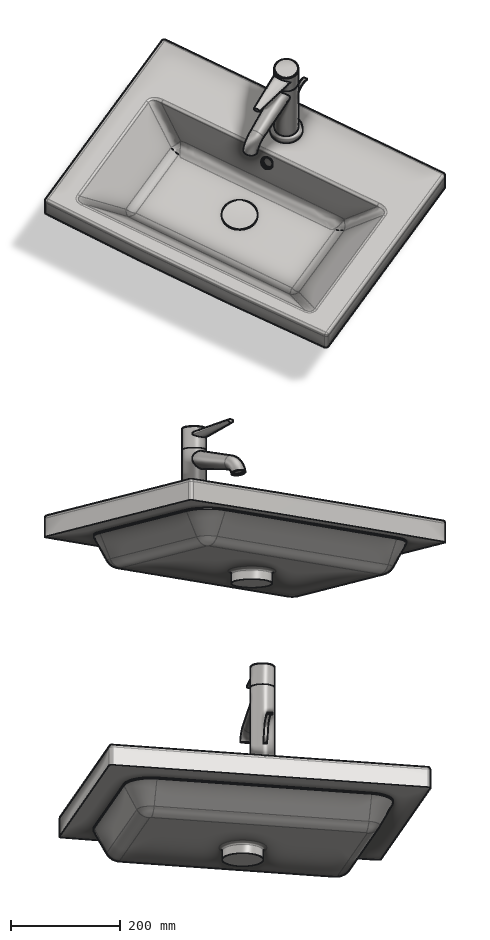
import cadquery as cq
import math


rim_width = 600.0
rim_height = 41.0
rim_back = 233.0
rim_front = -198.0
front_bow = 4.0
rim_edge_radius = 6.0

under_width = 501.5
under_back = 180.5
under_front = -171.0
under_corner_radius = 50.5
under_lip = 3.0
under_bottom = -102.0
under_taper = 28.5
under_edge_radius = 27.0

drain_diameter = 75.0
drain_bottom = -125.5
drain_root_radius = 6.0

opening_width = 501.5
opening_back = 107.5
opening_front = -165.5
floor_width = 351.5
floor_back = 74.0
floor_front = -104.0
floor_depth = 66.5
cavity_corner_radius = 18.0
floor_edge_radius = 27.0
opening_edge_radius = 7.0

overflow_outer = 24.0
overflow_inner = 20.0
overflow_depth = 20.5
overflow_length = 5.0
overflow_sink = 2.5

stopper_diameter = 66.0
stopper_edge = 3.0
stopper_seat = 0.5
stopper_dome = 2.0

faucet_y = 167.0
column_diameter = 45.0
base_diameter = 60.0
base_height = 11.5
base_edge_radius = 7.0
cap_bottom = 150.0
cap_top = 191.0
cap_chamfer = 1.5

lever_root_y = faucet_y - 9.0
lever_tip_y = 60.5
lever_root_z = 175.0
lever_tip_z = 187.0
lever_root_size = (35.0, 14.0)
lever_tip_size = (12.0, 6.5)

spout_slope = 12.2
spout_axis_z = 132.5
spout_length = 107.0
spout_root_diameter = 35.0
spout_tip_diameter = 26.5
bend_radius = 32.0
bend_angle = 63.0
outlet_diameter = 20.0
outlet_depth = 2.5

rod_width = 7.0
rod_thickness = 3.0
rod_points = [(186.5, 37.0), (194.5, 51.5), (200.5, 69.5), (215.5, 81.5), (235.0, 78.0)]


def rectangle_at(z, width, back, front):
    """A rectangle at height z, centred on X, between a back and a front line."""
    return (
        cq.Workplane("XY", origin=(0, (back + front) / 2, z))
        .rect(width, back - front)
    )


def make_rim():
    half = rim_width / 2
    corner_y = rim_front + front_bow
    rim = (
        cq.Workplane("XY")
        .moveTo(half, corner_y)
        .lineTo(half, rim_back)
        .lineTo(-half, rim_back)
        .lineTo(-half, corner_y)
        .threePointArc((0, rim_front), (half, corner_y))
        .close()
        .extrude(-rim_height)
    )
    return rim.edges("|Z").fillet(rim_edge_radius).faces(">Z").edges().fillet(rim_edge_radius)


def make_underside():
    lip_bottom = -rim_height - under_lip
    lip = (
        rectangle_at(-rim_height, under_width, under_back, under_front)
        .extrude(-under_lip)
        .edges("|Z")
        .fillet(under_corner_radius)
    )
    bowl = (
        lip.faces("<Z")
        .wires()
        .toPending()
        .workplane()
        .extrude(lip_bottom - under_bottom, taper=under_taper, combine=False)
        .faces("<Z")
        .edges()
        .fillet(under_edge_radius)
    )
    return lip.union(bowl)


def make_drain_stub():
    radius = drain_diameter / 2
    root = drain_root_radius
    middle = root * (1 - math.sqrt(0.5))
    return (
        cq.Workplane("XZ")
        .moveTo(0, under_bottom)
        .lineTo(radius + root, under_bottom)
        .threePointArc((radius + middle, under_bottom - middle), (radius, under_bottom - root))
        .lineTo(radius, drain_bottom)
        .lineTo(0, drain_bottom)
        .close()
        .revolve(360, (0, 0, 0), (0, 1, 0))
    )


def make_cavity():
    cavity = (
        rectangle_at(0, opening_width, opening_back, opening_front)
        .workplane(offset=-floor_depth)
        .center(0, (floor_back + floor_front - opening_back - opening_front) / 2)
        .rect(floor_width, floor_back - floor_front)
        .loft(ruled=True)
    )
    cavity = cavity.edges("not #Z").fillet(cavity_corner_radius)
    return cavity.faces("<Z").edges().fillet(floor_edge_radius)


def overflow_cylinder(diameter, start, length):
    """A cylinder square to the back wall; start is the depth of its near end below the wall."""
    run = opening_back - floor_back
    slant = math.hypot(run, floor_depth)
    outward = cq.Vector(0, -floor_depth / slant, run / slant)
    center = cq.Vector(0, opening_back - overflow_depth * run / floor_depth, -overflow_depth)
    solid = cq.Solid.makeCylinder(diameter / 2, length, center - outward * start, outward * -1)
    return cq.Workplane(solid)


def make_overflow_ring():
    outer = overflow_cylinder(overflow_outer, overflow_sink, overflow_length)
    return outer.cut(overflow_cylinder(overflow_inner, overflow_sink, overflow_length))


def make_basin(stopper):
    basin = make_rim().union(make_underside()).union(make_drain_stub()).cut(make_cavity())
    inside = cq.selectors.BoxSelector(
        (-opening_width, opening_front - 0.5, -0.5), (opening_width, opening_back + 0.5, 0.5), True
    )
    basin = basin.edges(inside).fillet(opening_edge_radius)
    basin = basin.cut(overflow_cylinder(overflow_outer, 0, overflow_sink + overflow_length))
    return basin.cut(stopper)


def make_stopper():
    radius = stopper_diameter / 2
    chord_angle = math.atan2(stopper_dome, radius)
    dome_radius = radius / math.sin(2 * chord_angle)
    crown = stopper_edge + stopper_dome
    drop = dome_radius * (1 - math.cos(chord_angle))
    return (
        cq.Workplane("XZ", origin=(0, 0, -floor_depth - stopper_seat))
        .lineTo(radius, 0)
        .lineTo(radius, stopper_edge)
        .threePointArc((dome_radius * math.sin(chord_angle), crown - drop), (0, crown))
        .close()
        .revolve(360, (0, 0, 0), (0, 1, 0))
    )


def make_spout():
    slope = math.radians(spout_slope)
    forward = cq.Vector(0, -math.cos(slope), -math.sin(slope))
    start = cq.Vector(0, faucet_y, spout_axis_z)
    end = start + forward * spout_length
    root_radius = spout_root_diameter / 2
    tip_radius = spout_tip_diameter / 2
    cone = cq.Workplane(cq.Solid.makeCone(root_radius, tip_radius, spout_length, start, forward))

    end_plane = cq.Plane(origin=end.toTuple(), xDir=(1, 0, 0), normal=forward.toTuple())
    bend = (
        cq.Workplane(end_plane)
        .circle(tip_radius)
        .revolve(bend_angle, (0, -bend_radius, 0), (1, -bend_radius, 0))
    )
    outlet_angle = slope + math.radians(bend_angle)
    bend_center = end + cq.Vector(0, math.sin(slope), -math.cos(slope)) * bend_radius
    outlet_center = bend_center + cq.Vector(0, -math.sin(outlet_angle), math.cos(outlet_angle)) * bend_radius
    flow = cq.Vector(0, -math.cos(outlet_angle), -math.sin(outlet_angle))
    recess = cq.Solid.makeCylinder(outlet_diameter / 2, outlet_depth, outlet_center, flow * -1)
    return cone.union(bend).cut(cq.Workplane(recess))


def make_lever():
    rise = math.atan2(lever_tip_z - lever_root_z, lever_root_y - lever_tip_y)
    length = math.hypot(lever_tip_z - lever_root_z, lever_root_y - lever_tip_y)
    root_plane = cq.Plane(
        origin=(0, lever_root_y, lever_root_z),
        xDir=(1, 0, 0),
        normal=(0, -math.cos(rise), math.sin(rise)),
    )
    return (
        cq.Workplane(root_plane)
        .ellipse(lever_root_size[0] / 2, lever_root_size[1] / 2)
        .workplane(offset=length)
        .ellipse(lever_tip_size[0] / 2, lever_tip_size[1] / 2)
        .loft()
    )


def make_rod():
    path = cq.Workplane("YZ").spline(rod_points)
    tangent = path.val().tangentAt(0)
    start = cq.Plane(origin=(0, *rod_points[0]), xDir=(1, 0, 0), normal=tangent.toTuple())
    return cq.Workplane(start).rect(rod_width, rod_thickness).sweep(path)


def make_column(spout, rod):
    base = (
        cq.Workplane("XY", origin=(0, faucet_y, 0))
        .circle(base_diameter / 2)
        .extrude(base_height)
        .faces(">Z")
        .edges()
        .fillet(base_edge_radius)
    )
    shaft = cq.Workplane("XY", origin=(0, faucet_y, 0)).circle(column_diameter / 2).extrude(cap_bottom)
    return base.union(shaft).cut(spout).cut(rod)


def make_cap(lever):
    return (
        cq.Workplane("XY", origin=(0, faucet_y, cap_bottom))
        .circle(column_diameter / 2)
        .extrude(cap_top - cap_bottom)
        .faces(">Z")
        .edges()
        .chamfer(cap_chamfer)
        .cut(lever)
    )


overflow_ring = make_overflow_ring()
stopper = make_stopper()
basin = make_basin(stopper)
spout = make_spout()
lever = make_lever()
rod = make_rod()
column = make_column(spout, rod)
cap = make_cap(lever)

bodies = [basin, overflow_ring, stopper, column, cap, lever, spout, rod]
result = cq.Compound.makeCompound([body.val() for body in bodies])